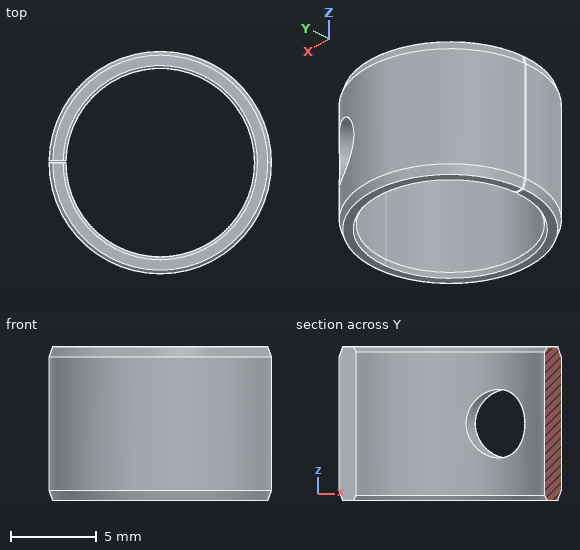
import cadquery as cq
import math

outer_diameter = 13.0
wall_thickness = 1.0
length = 9.0

outer_chamfer_length = 0.6
outer_chamfer_angle = 20.0
inner_chamfer_length = 0.3
inner_chamfer_angle = 30.0

slit_width = 0.1
slit_center_y = 0.05

oil_hole_diameter = 4.0
oil_hole_angle = 59.0

outer_radius = outer_diameter / 2
inner_radius = outer_radius - wall_thickness
half_length = length / 2


def chamfer_depth(chamfer_length, angle):
    """Radial depth of a chamfer sloping at an angle to the axis."""
    return chamfer_length * math.tan(math.radians(angle))


def make_sleeve():
    """Revolve the chamfered wall section about Z."""
    outer_end_radius = outer_radius - chamfer_depth(outer_chamfer_length, outer_chamfer_angle)
    inner_end_radius = inner_radius + chamfer_depth(inner_chamfer_length, inner_chamfer_angle)
    outer_chamfer_z = half_length - outer_chamfer_length
    inner_chamfer_z = half_length - inner_chamfer_length
    section = [
        (inner_radius, -inner_chamfer_z),
        (inner_end_radius, -half_length),
        (outer_end_radius, -half_length),
        (outer_radius, -outer_chamfer_z),
        (outer_radius, outer_chamfer_z),
        (outer_end_radius, half_length),
        (inner_end_radius, half_length),
        (inner_radius, inner_chamfer_z),
    ]
    return cq.Workplane("XZ").polyline(section).close().revolve(360, (0, 0), (0, 1))


def make_slit():
    """Full-length cutter from the axis out past the -X wall."""
    return (
        cq.Workplane("XY")
        .box(outer_diameter, slit_width, length)
        .translate((-outer_radius, slit_center_y, 0))
    )


def make_oil_hole():
    """Cylindrical cutter running from the axis out through one wall."""
    return (
        cq.Workplane("YZ")
        .circle(oil_hole_diameter / 2)
        .extrude(outer_diameter)
        .rotate((0, 0, 0), (0, 0, 1), oil_hole_angle)
    )


result = make_sleeve().cut(make_slit()).cut(make_oil_hole())